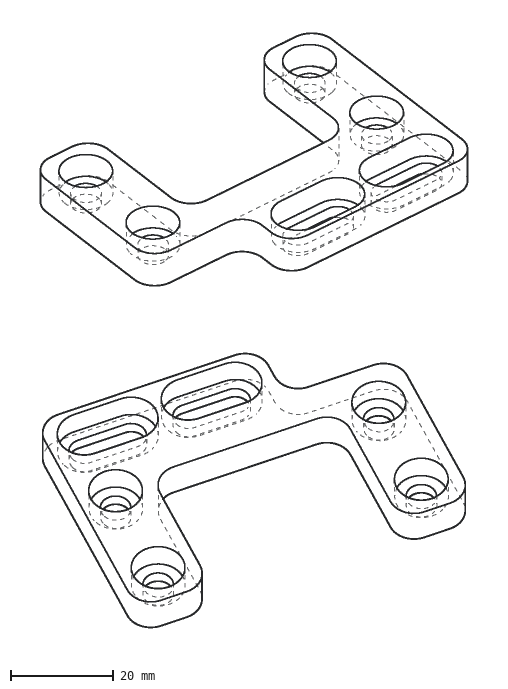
import cadquery as cq

width = 50.75
length = 71.5
thickness = 8.0
corner_radius = 5.0
opening_depth = 29.75
foot_width = 37.75

hole_diameter = 6.0
bore_diameter = 10.5
bore_depth = 5.4
edge_wall = 2.5

arm_width = bore_diameter + 2 * edge_wall
hole_spacing_x = 21.0
first_hole_x = arm_width / 2
hole_columns = [first_hole_x, first_hole_x + hole_spacing_x]
hole_rows = [arm_width / 2, length - arm_width / 2]

slot_travel = 10.0
slot_spacing = 22.125
slot_side_offset = 6.5
slot_x = width - slot_side_offset
slot_end_reach = (slot_travel + bore_diameter) / 2
upper_slot_y = length - edge_wall - slot_end_reach
lower_slot_y = upper_slot_y - slot_spacing
slot_rows = [upper_slot_y, lower_slot_y]

step_height = lower_slot_y - slot_end_reach - edge_wall


def make_plate():
    """C-shaped plate with a step at the +X side and all corners rounded."""
    outline = [
        (0, 0),
        (foot_width, 0),
        (foot_width, step_height),
        (width, step_height),
        (width, length),
        (0, length),
        (0, length - arm_width),
        (opening_depth, length - arm_width),
        (opening_depth, arm_width),
        (0, arm_width),
    ]
    plate = cq.Workplane("XY").polyline(outline).close().extrude(thickness)
    return plate.edges("|Z").fillet(corner_radius)


def drill_holes(plate):
    """Counterbored through holes at both ends of each arm."""
    centres = [(x, y) for x in hole_columns for y in hole_rows]
    return (
        plate.faces(">Z")
        .workplane(origin=(0, 0, thickness))
        .pushPoints(centres)
        .cboreHole(hole_diameter, bore_diameter, bore_depth)
    )


def cut_slots(plate):
    """Through slots along Y, each with a wider recess from the top face."""
    centres = [(slot_x, y) for y in slot_rows]
    for diameter, depth in [(hole_diameter, thickness), (bore_diameter, bore_depth)]:
        plate = (
            plate.faces(">Z")
            .workplane(origin=(0, 0, thickness))
            .pushPoints(centres)
            .slot2D(slot_travel + diameter, diameter, 90)
            .cutBlind(-depth)
        )
    return plate


result = cut_slots(drill_holes(make_plate()))